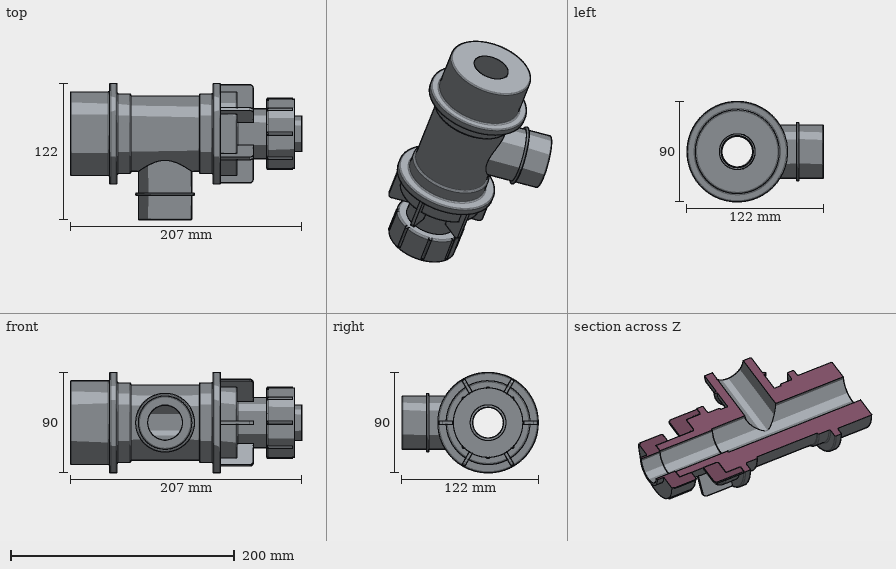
import cadquery as cq


BODY_DIAMETER = 75.0
SPIGOT_RADIUS = BODY_DIAMETER / 2
FLANGE_RADIUS = 1.2 * SPIGOT_RADIUS
COLLAR_RADIUS = 0.95 * SPIGOT_RADIUS
TUBE_RADIUS = 0.9 * SPIGOT_RADIUS
NECK_RADIUS = 0.6 * SPIGOT_RADIUS
EDGE_FILLET = 0.015 * BODY_DIAMETER
TUBE_FILLET = 0.005 * BODY_DIAMETER

SPIGOT_LENGTH = 35.0
FLANGE_WIDTH = 6.9
COLLAR_WIDTH = 12.1
TUBE_LENGTH = 61.3
DISC_WIDTH = 14.7
NECK_EXPOSED = 26.5
SOCKET_DEPTH = 12.5

LEFT_FLANGE_START = SPIGOT_LENGTH
LEFT_COLLAR_START = LEFT_FLANGE_START + FLANGE_WIDTH
TUBE_START = LEFT_COLLAR_START + COLLAR_WIDTH
TUBE_END = TUBE_START + TUBE_LENGTH
RIGHT_FLANGE_START = TUBE_END + COLLAR_WIDTH
RIGHT_FLANGE_END = RIGHT_FLANGE_START + FLANGE_WIDTH
DISC_END = RIGHT_FLANGE_END + DISC_WIDTH
COUPLER_START = DISC_END + NECK_EXPOSED
NECK_END = COUPLER_START + SOCKET_DEPTH

PIPE_DIAMETER = 32.0
RUN_BORE_RADIUS = PIPE_DIAMETER / 2
NECK_BORE_RADIUS = 0.9 * RUN_BORE_RADIUS
TAIL_BORE_RADIUS = 0.85 * RUN_BORE_RADIUS

BRANCH_DIAMETER = 47.8
BRANCH_RADIUS = BRANCH_DIAMETER / 2
BRANCH_BORE_RADIUS = 0.65 * BRANCH_RADIUS
BRANCH_REACH = 77.0
BRANCH_X = (TUBE_START + TUBE_END) / 2
BRANCH_END_FILLET = 0.02 * BRANCH_DIAMETER
BEAD_RADIUS = 1.1 * BRANCH_RADIUS
BEAD_WIDTH = 0.05 * BRANCH_DIAMETER
BEAD_REACH = 54.0
BEAD_FILLET = 0.47 * BEAD_WIDTH

RIB_COUNT = 6
RIB_THICKNESS = 3.0
RIB_OUTER_RADIUS = 44.0
RIB_ROOT_RADIUS = (NECK_BORE_RADIUS + NECK_RADIUS) / 2
RIB_LENGTH = 29.2
RIB_CORNER_FILLET = 3.3

NUT_RADIUS = 0.97 * PIPE_DIAMETER
NUT_LENGTH = 25.0
NUT_FILLET = 0.05 * PIPE_DIAMETER
TAIL_RADIUS = PIPE_DIAMETER / 2
TAIL_LENGTH = 6.5
GRIP_COUNT = 8
GRIP_RADIUS = PIPE_DIAMETER
GRIP_WIDTH = 3.0
GRIP_FILLET = 0.47 * GRIP_WIDTH
GRIP_LENGTH = 23.0

NUT_END = COUPLER_START + NUT_LENGTH
TAIL_END = NUT_END + TAIL_LENGTH

MATCH_TOLERANCE = 0.01


def run_cylinder(radius, start, end):
    """Solid cylinder on the X axis between two X positions."""
    return cq.Workplane("YZ", origin=(start, 0, 0)).circle(radius).extrude(end - start)


def branch_cylinder(radius, start, end):
    """Solid cylinder on the branch axis between two distances from the run axis."""
    return cq.Workplane("XZ", origin=(BRANCH_X, -start, 0)).circle(radius).extrude(end - start)


def circles_at(body, x_position, radius):
    """Circular edges of a body with the given place on the X axis and radius."""
    return body.edges("%CIRCLE").filter(
        lambda edge: abs(edge.Center().x - x_position) < MATCH_TOLERANCE
        and abs(edge.radius() - radius) < MATCH_TOLERANCE
    )


def make_run():
    """Spigot, flanges, collars, tube, disc and neck, turned as one stepped shape."""
    sections = [
        (SPIGOT_RADIUS, LEFT_FLANGE_START),
        (FLANGE_RADIUS, LEFT_COLLAR_START),
        (COLLAR_RADIUS, TUBE_START),
        (TUBE_RADIUS, TUBE_END),
        (COLLAR_RADIUS, RIGHT_FLANGE_START),
        (FLANGE_RADIUS, RIGHT_FLANGE_END),
        (SPIGOT_RADIUS, DISC_END),
        (NECK_RADIUS, NECK_END),
    ]
    outline = [(0, 0)]
    start = 0
    for radius, end in sections:
        outline += [(start, radius), (end, radius)]
        start = end
    outline.append((NECK_END, 0))
    run = cq.Workplane("XY").polyline(outline).close().revolve(360, (0, 0, 0), (1, 0, 0))

    rounded_edges = [
        (0, SPIGOT_RADIUS, EDGE_FILLET),
        (LEFT_FLANGE_START, SPIGOT_RADIUS, EDGE_FILLET),
        (LEFT_FLANGE_START, FLANGE_RADIUS, EDGE_FILLET),
        (LEFT_COLLAR_START, FLANGE_RADIUS, EDGE_FILLET),
        (LEFT_COLLAR_START, COLLAR_RADIUS, EDGE_FILLET),
        (TUBE_START, COLLAR_RADIUS, EDGE_FILLET),
        (TUBE_START, TUBE_RADIUS, TUBE_FILLET),
        (TUBE_END, TUBE_RADIUS, TUBE_FILLET),
        (TUBE_END, COLLAR_RADIUS, EDGE_FILLET),
        (RIGHT_FLANGE_START, COLLAR_RADIUS, EDGE_FILLET),
        (RIGHT_FLANGE_START, FLANGE_RADIUS, EDGE_FILLET),
        (RIGHT_FLANGE_END, FLANGE_RADIUS, EDGE_FILLET),
        (DISC_END, SPIGOT_RADIUS, EDGE_FILLET),
        (DISC_END, NECK_RADIUS, EDGE_FILLET),
    ]
    for x_position, radius, fillet in rounded_edges:
        run = circles_at(run, x_position, radius).fillet(fillet)
    return run


def make_branch():
    """Branch pipe with a rounded mouth and a rounded bead around it."""
    pipe = branch_cylinder(BRANCH_RADIUS, 0, BRANCH_REACH)
    pipe = pipe.faces("<Y").edges().fillet(BRANCH_END_FILLET)
    bead = branch_cylinder(BEAD_RADIUS, BEAD_REACH - BEAD_WIDTH / 2, BEAD_REACH + BEAD_WIDTH / 2)
    return pipe.union(bead.edges("%CIRCLE").fillet(BEAD_FILLET))


def make_housing():
    """Run and branch as one body, bored through."""
    housing = make_run().union(make_branch())
    housing = housing.cut(run_cylinder(RUN_BORE_RADIUS, 0, RIGHT_FLANGE_END))
    housing = housing.cut(run_cylinder(NECK_BORE_RADIUS, RIGHT_FLANGE_END, NECK_END))
    return housing.cut(branch_cylinder(BRANCH_BORE_RADIUS, 0, BRANCH_REACH))


def make_rib(angle, housing):
    """Flat rib standing on the neck, disc and flange face, trimmed to fit the housing."""
    rib = (
        cq.Workplane("XY", origin=(RIGHT_FLANGE_END, 0, -RIB_THICKNESS / 2))
        .moveTo(0, RIB_ROOT_RADIUS)
        .rect(RIB_LENGTH, RIB_OUTER_RADIUS - RIB_ROOT_RADIUS, centered=False)
        .extrude(RIB_THICKNESS)
        .edges(">X and >Y")
        .fillet(RIB_CORNER_FILLET)
        .rotate((0, 0, 0), (1, 0, 0), angle)
    )
    return rib.cut(housing)


def make_coupler():
    """Ridged nut with the tail pipe, socketed over the end of the neck."""
    nut = run_cylinder(NUT_RADIUS, COUPLER_START, NUT_END)
    nut = nut.faces("<X").edges().fillet(NUT_FILLET)
    grip_blank = run_cylinder(GRIP_RADIUS, COUPLER_START, COUPLER_START + GRIP_LENGTH)
    grip_blank = grip_blank.faces("<X").edges().fillet(NUT_FILLET)
    for index in range(GRIP_COUNT):
        ridge = (
            cq.Workplane("YZ", origin=(COUPLER_START, 0, 0))
            .center((NECK_RADIUS + GRIP_RADIUS) / 2, 0)
            .rect(GRIP_RADIUS - NECK_RADIUS, GRIP_WIDTH)
            .extrude(GRIP_LENGTH)
            .edges(">Y and |X")
            .fillet(GRIP_FILLET)
            .intersect(grip_blank)
            .rotate((0, 0, 0), (1, 0, 0), index * 360 / GRIP_COUNT)
        )
        nut = nut.union(ridge)
    coupler = nut.union(run_cylinder(TAIL_RADIUS, NUT_END, TAIL_END))
    coupler = coupler.cut(run_cylinder(NECK_RADIUS, COUPLER_START, NECK_END))
    return coupler.cut(run_cylinder(TAIL_BORE_RADIUS, NECK_END, TAIL_END))


housing = make_housing()
ribs = [make_rib(index * 360 / RIB_COUNT, housing) for index in range(RIB_COUNT)]
coupler = make_coupler()

result = cq.Compound.makeCompound(
    [housing.val(), *[rib.val() for rib in ribs], coupler.val()]
)